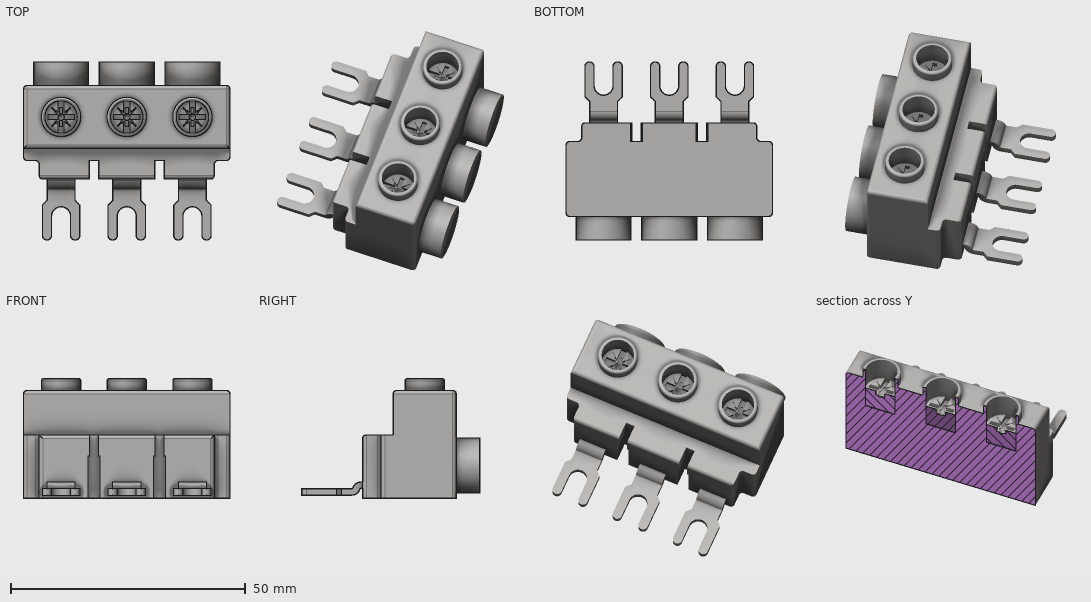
import cadquery as cq
import math


POLE_COUNT = 3
POLE_PITCH = 14.0
POLE_XS = [(i - (POLE_COUNT - 1) / 2) * POLE_PITCH for i in range(POLE_COUNT)]

WIDTH = 44.0
BODY_HEIGHT = 23.0
STEP_HEIGHT = 13.5
UPPER_DEPTH = 13.45
SHELF_DEPTH = 16.0
NOSE_DEPTH = 19.98
NOSE_WIDTH = 37.3
EDGE_RADIUS = 0.8

GAP_WIDTH = 2.0
WIDE_GAP_WIDTH = 2.6
WIDE_GAP_HEIGHT = 9.0
GAP_XS = [(a + b) / 2 for a, b in zip(POLE_XS, POLE_XS[1:])]

TUBE_DIAMETER = 11.75
TUBE_LENGTH = 5.0
TUBE_Z = 7.0

COLLAR_DIAMETER = 8.4
COLLAR_HEIGHT = 2.5
COLLAR_EDGE_RADIUS = 0.5
BORE_DIAMETER = 6.9
COLLAR_Y = -UPPER_DEPTH / 2
COLLAR_TOP = BODY_HEIGHT + COLLAR_HEIGHT

SCREW_SINK = 5.5
SCREW_HEIGHT = 5.3
SCREW_TOP = COLLAR_TOP - SCREW_SINK
SCREW_BOTTOM = SCREW_TOP - SCREW_HEIGHT
SLOT_WIDTH = 1.3
SLOT_DEPTH = 1.1
DEEP_ARM_WIDTH = 0.7
DEEP_ARM_LENGTH = 4.0
DEEP_ARM_DEPTH = 1.4
CROSS_ARM_LENGTH = 5.65
CROSS_ARM_WIDTH = 1.0
TICK_LENGTH = 5.55
TICK_WIDTH = 0.18
TICK_DEPTH = 0.45
WIDE_TICK_LENGTH = 3.4
WIDE_TICK_WIDTH = 0.4
TICK_ANGLES = (45, 135)
CENTRE_HOLE_DIAMETER = 1.4
CENTRE_CONE_DEPTH = 0.7

PLATE_THICKNESS = 1.4
PLATE_BOTTOM = 0.65
FORK_REACH = 13.0
FORK_WIDTH = 8.0
NECK_WIDTH = 6.0
FORK_SLOT_WIDTH = 4.0
FORK_SLOT_LENGTH = 7.1
SHOULDER_REACH = 5.55
PRONG_WIDTH = (FORK_WIDTH - FORK_SLOT_WIDTH) / 2
SHOULDER_RUN = (FORK_WIDTH - NECK_WIDTH) / 2

BEND_START = 0.25
BEND_END = 2.38
BEND_DROP = 1.45
BEND_RADIUS = 1.95
BEND_INNER_RADIUS = 0.18


def box(width, depth, height, back_y=0.0):
    """A box centred on X that runs from back_y towards -Y and up from Z = 0."""
    return (
        cq.Workplane("XY")
        .box(width, depth, height, centered=(True, False, False))
        .translate((0, back_y - depth, 0))
    )


def make_upper_block():
    block = box(WIDTH, UPPER_DEPTH, BODY_HEIGHT)
    return block.edges("(|Z and >Y) or >Z").fillet(EDGE_RADIUS)


def make_base():
    nose_side = NOSE_WIDTH / 2
    base = (
        cq.Workplane("XY")
        .moveTo(-WIDTH / 2, 0)
        .lineTo(-WIDTH / 2, -SHELF_DEPTH)
        .lineTo(-nose_side, -SHELF_DEPTH)
        .lineTo(-nose_side, -NOSE_DEPTH)
        .lineTo(nose_side, -NOSE_DEPTH)
        .lineTo(nose_side, -SHELF_DEPTH)
        .lineTo(WIDTH / 2, -SHELF_DEPTH)
        .lineTo(WIDTH / 2, 0)
        .close()
        .extrude(STEP_HEIGHT)
    )
    base = base.edges("|Z").fillet(EDGE_RADIUS)
    rounded_front = box(WIDTH, NOSE_DEPTH, STEP_HEIGHT).edges("<Y and >Z").fillet(EDGE_RADIUS)
    return base.intersect(rounded_front)


def make_gap(x):
    """A cut between two poles that is wider in its lower part."""
    depth = NOSE_DEPTH - SHELF_DEPTH
    narrow = box(GAP_WIDTH, depth, STEP_HEIGHT, -SHELF_DEPTH)
    wide = box(WIDE_GAP_WIDTH, depth, WIDE_GAP_HEIGHT, -SHELF_DEPTH)
    return narrow.union(wide).translate((x, 0, 0))


def make_tube(x):
    root = EDGE_RADIUS
    return (
        cq.Workplane("XZ", origin=(x, -root, TUBE_Z))
        .circle(TUBE_DIAMETER / 2)
        .extrude(-(TUBE_LENGTH + root))
    )


def make_collar(x):
    collar = (
        cq.Workplane("XY", origin=(x, COLLAR_Y, BODY_HEIGHT))
        .circle(COLLAR_DIAMETER / 2)
        .extrude(COLLAR_HEIGHT)
    )
    return collar.edges(">Z").fillet(COLLAR_EDGE_RADIUS)


def make_screw_bore(x):
    return (
        cq.Workplane("XY", origin=(x, COLLAR_Y, SCREW_BOTTOM))
        .circle(BORE_DIAMETER / 2)
        .extrude(COLLAR_TOP - SCREW_BOTTOM)
    )


def make_housing():
    housing = make_upper_block().union(make_base())
    for x in GAP_XS:
        housing = housing.cut(make_gap(x))
    for x in POLE_XS:
        housing = housing.union(make_tube(x)).union(make_collar(x)).cut(make_screw_bore(x))
    return housing


def make_screw_recess():
    """Cutter for the drive recess, centred on the Z axis with its top at Z = 0.

    A full-width slot with a deeper middle and a cross arm meet four diagonal ticks and a conical centre hole.
    """
    def groove(length, width, depth):
        return cq.Workplane("XY").rect(length, width).extrude(-depth)

    recess = groove(SLOT_WIDTH, BORE_DIAMETER, SLOT_DEPTH)
    recess = recess.union(groove(CROSS_ARM_LENGTH, CROSS_ARM_WIDTH, SLOT_DEPTH))
    recess = recess.union(groove(DEEP_ARM_WIDTH, DEEP_ARM_LENGTH, DEEP_ARM_DEPTH))
    for angle in TICK_ANGLES:
        tick = groove(TICK_LENGTH, TICK_WIDTH, TICK_DEPTH)
        tick = tick.union(groove(WIDE_TICK_LENGTH, WIDE_TICK_WIDTH, SLOT_DEPTH))
        recess = recess.union(tick.rotate((0, 0, 0), (0, 0, 1), angle))
    recess = recess.union(cq.Workplane("XY").circle(CENTRE_HOLE_DIAMETER / 2).extrude(-DEEP_ARM_DEPTH))
    cone = cq.Solid.makeCone(
        CENTRE_HOLE_DIAMETER / 2, 0, CENTRE_CONE_DEPTH,
        pnt=cq.Vector(0, 0, -DEEP_ARM_DEPTH), dir=cq.Vector(0, 0, -1),
    )
    return recess.union(cq.Workplane(cone))


def make_screw(x):
    screw = cq.Workplane("XY").circle(BORE_DIAMETER / 2).extrude(-SCREW_HEIGHT)
    return screw.cut(make_screw_recess()).translate((x, COLLAR_Y, SCREW_TOP))


def make_bent_strip():
    """Terminal plate at full fork width, bent down just in front of the housing nose.

    The side profile is drawn as distance in front of the nose against height. Each bend is
    one arc whose other side is a sharp corner, softened afterwards.
    """
    low_bottom = PLATE_BOTTOM
    low_top = low_bottom + PLATE_THICKNESS
    high_bottom = low_bottom + BEND_DROP
    high_top = low_top + BEND_DROP

    bend_angle = math.acos(1 - BEND_DROP / BEND_RADIUS)
    arc_run = BEND_RADIUS * math.sin(bend_angle)
    half_run = BEND_RADIUS * math.sin(bend_angle / 2)
    half_fall = BEND_RADIUS * (1 - math.cos(bend_angle / 2))
    top_corner = (BEND_START + arc_run, low_top)
    bottom_corner = (BEND_END - arc_run, high_bottom)

    strip = (
        cq.Workplane(cq.Plane(origin=(0, -NOSE_DEPTH, 0), xDir=(0, -1, 0), normal=(-1, 0, 0)))
        .moveTo(0, high_top)
        .lineTo(BEND_START, high_top)
        .threePointArc((BEND_START + half_run, high_top - half_fall), top_corner)
        .lineTo(FORK_REACH, low_top)
        .lineTo(FORK_REACH, low_bottom)
        .lineTo(BEND_END, low_bottom)
        .threePointArc((BEND_END - half_run, low_bottom + half_fall), bottom_corner)
        .lineTo(0, high_bottom)
        .close()
        .extrude(FORK_WIDTH / 2, both=True)
    )
    for distance, height in (top_corner, bottom_corner):
        corner = cq.selectors.NearestToPointSelector((0, -NOSE_DEPTH - distance, height))
        strip = strip.edges(corner).fillet(BEND_INNER_RADIUS)
    return strip


def make_fork_outline():
    """Outline of the neck and the two round-ended prongs, as a prism taller than the strip."""
    neck = NECK_WIDTH / 2
    outer = FORK_WIDTH / 2
    inner = FORK_SLOT_WIDTH / 2
    prong_middle = (outer + inner) / 2
    tip_y = -NOSE_DEPTH - FORK_REACH
    prong_end_y = tip_y + PRONG_WIDTH / 2
    slot_top_y = tip_y + FORK_SLOT_LENGTH
    slot_side_y = slot_top_y - inner
    shoulder_y = -NOSE_DEPTH - SHOULDER_REACH
    return (
        cq.Workplane("XY")
        .moveTo(-neck, -NOSE_DEPTH)
        .lineTo(-neck, shoulder_y + SHOULDER_RUN)
        .lineTo(-outer, shoulder_y)
        .lineTo(-outer, prong_end_y)
        .threePointArc((-prong_middle, tip_y), (-inner, prong_end_y))
        .lineTo(-inner, slot_side_y)
        .threePointArc((0, slot_top_y), (inner, slot_side_y))
        .lineTo(inner, prong_end_y)
        .threePointArc((prong_middle, tip_y), (outer, prong_end_y))
        .lineTo(outer, shoulder_y)
        .lineTo(neck, shoulder_y + SHOULDER_RUN)
        .lineTo(neck, -NOSE_DEPTH)
        .close()
        .extrude(STEP_HEIGHT)
    )


def make_terminal(x):
    return make_bent_strip().intersect(make_fork_outline()).translate((x, 0, 0))


housing = make_housing()
screws = [make_screw(x).solids().val() for x in POLE_XS]
terminals = [make_terminal(x).solids().val() for x in POLE_XS]

result = cq.Compound.makeCompound([housing.solids().val(), *screws, *terminals])